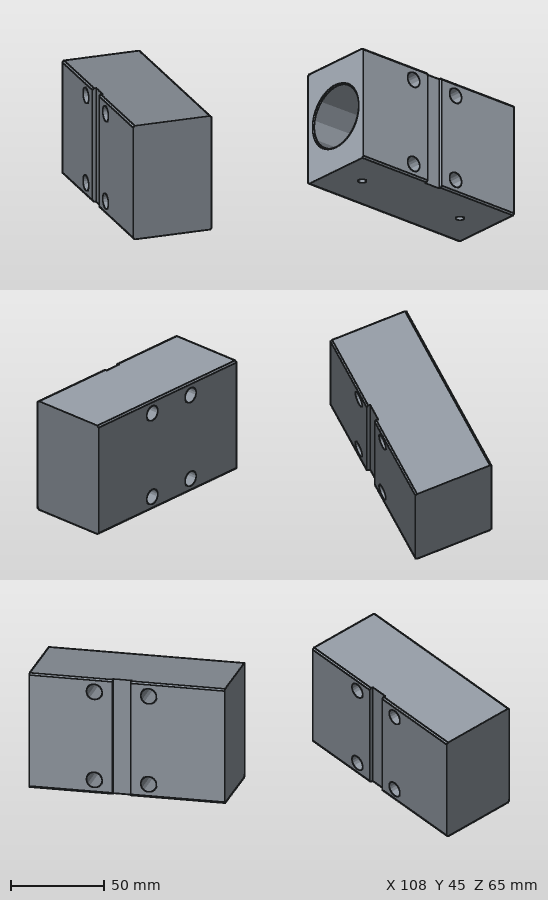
import cadquery as cq

length = 108.0
depth = 45.0
height = 65.0
edge_chamfer = 1.0

groove_start = 46.0
groove_width = 10.0
groove_depth = 2.0

mount_diameter = 8.6
mount_first = 36.0
mount_pitch_x = 30.0
mount_pitch_z = 50.0

bore_diameter = 36.0
bore_mouth_chamfer = 0.7
pocket_diameter = 25.0
pocket_length = 5.0

port_diameter = 4.5
port_end_distance = 19.0
port_overshoot = 1.7

bore_y = depth / 2
bore_z = height / 2
pocket_floor = length - port_end_distance
bore_length = pocket_floor - pocket_length
port_depth = bore_z - pocket_diameter / 2 + port_overshoot


def make_block():
    block = cq.Workplane("XY").box(length, depth, height, centered=False)
    return block.edges("|X").chamfer(edge_chamfer)


def make_groove():
    groove = cq.Workplane("XY").box(groove_width, groove_depth, height, centered=False)
    return groove.translate((groove_start, 0, 0))


def make_mounting_holes():
    mount_center_x = mount_first + mount_pitch_x / 2
    return (
        cq.Workplane("XZ", origin=(mount_center_x, 0, bore_z))
        .rarray(mount_pitch_x, mount_pitch_z, 2, 2)
        .circle(mount_diameter / 2)
        .extrude(-depth)
    )


def make_bore():
    """Revolve the bore, its chamfered mouth and the end pocket about the bore axis."""
    bore_radius = bore_diameter / 2
    mouth_radius = bore_radius + bore_mouth_chamfer
    pocket_radius = pocket_diameter / 2
    half_section = (
        cq.Workplane("XY", origin=(0, bore_y, bore_z))
        .lineTo(0, mouth_radius)
        .lineTo(bore_mouth_chamfer, bore_radius)
        .lineTo(bore_length, bore_radius)
        .lineTo(bore_length, pocket_radius)
        .lineTo(pocket_floor, pocket_radius)
        .lineTo(pocket_floor, 0)
        .close()
    )
    return half_section.revolve(360, (0, 0, 0), (1, 0, 0))


def make_ports():
    """The far port is centred on the pocket floor, so it leaves a half-round notch there."""
    port_centers = [(port_end_distance, bore_y), (pocket_floor, bore_y)]
    return cq.Workplane("XY").pushPoints(port_centers).circle(port_diameter / 2).extrude(port_depth)


result = make_block()
for cutter in (make_groove(), make_mounting_holes(), make_bore(), make_ports()):
    result = result.cut(cutter)